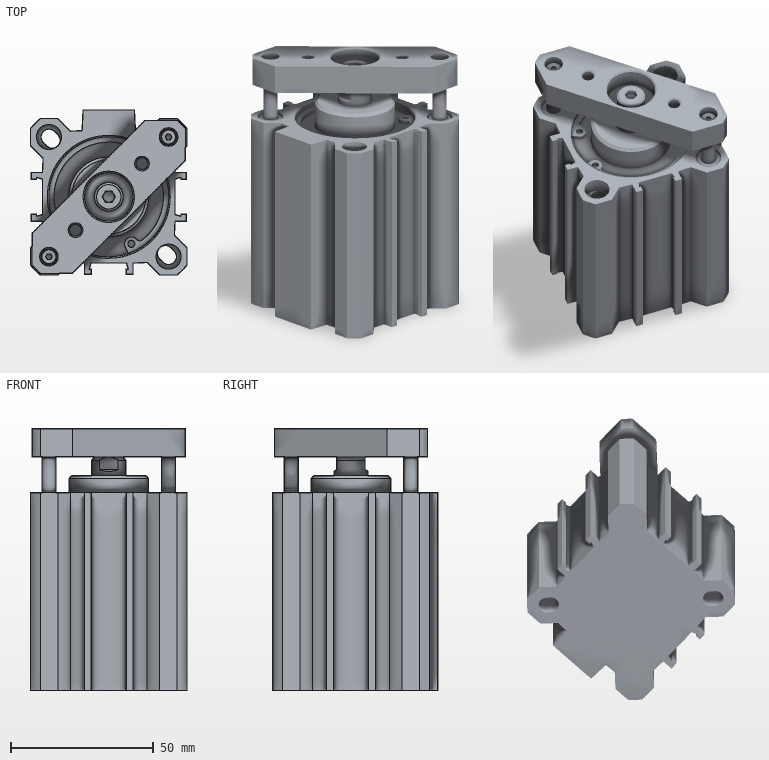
import cadquery as cq
import math

HOUSING_HEIGHT = 69.5
HOUSING_HALF = 27.5
PLATE_BOTTOM = 82.0
PLATE_THICKNESS = 10.0
PLATE_TOP = PLATE_BOTTOM + PLATE_THICKNESS
CORNER = 21.0

COLUMN_RADIUS = 36.5
COLUMN_FLAT_START = math.sqrt(COLUMN_RADIUS**2 - HOUSING_HALF**2)
WALL_HALF = 23.3
WALL_HALF_AT_COLUMN = 23.1
COLUMN_FLANK = 9.6
RAIL_OUTSIDE = 8.6
RAIL_TIP = 27.25
RAIL_THICKNESS = 1.8
RAIL_ROOT_THICKNESS = 2.4
HOOK_WIDTH = 2.5
HOOK_DEPTH = 1.9
PORT_BLOCK_FACE = 30.5
PORT_BLOCK_HALF_ROOT = 9.4
PORT_BLOCK_HALF_FACE = 9.05
OVERLAP = 1.0

MOUNT_HOLE_D = 5.5
MOUNT_BORE_D = 8.8
MOUNT_BORE_DEPTH = 5.5
MOUNT_SLOT_SHIFT = 1.15

BORE_D = 42.2
BORE_CHAMFER = 0.5
RING_TOP_DEPTH = 2.35
RING_THICKNESS = 1.5
RING_TOP = HOUSING_HEIGHT - RING_TOP_DEPTH
COVER_TOP = RING_TOP - RING_THICKNESS
COLLAR_D = 28.0
COLLAR_TOP = 75.5
COLLAR_CHAMFER = 1.0
COLLAR_FOOT_FILLET = 0.6
RING_INNER_D = 38.4
LUG_RADIUS = 2.4
LUG_CIRCLE_RADIUS = 18.3
LUG_FILLET = 1.5
LUG_HOLE_D = 2.5
LUG_ANGLES = (-119.5, -64.3)

ROD_D = 12.0
ROD_BOTTOM = 50.0
ROD_FLATS = 10.0
FLAT_BOTTOM = 77.55
FLAT_RUNOUT = 0.65
ROD_CHAMFER_HEIGHT = 1.2
ROD_CHAMFER_WIDTH = 0.95

GUIDE_D = 5.0
GUIDE_CHAMFER = 0.3
GUIDE_ENTRY_CHAMFER = 0.4
GUIDE_MOUTH_D = 9.0
GUIDE_LAND_D = 7.6
GUIDE_LAND_DEPTH = 0.3
GUIDE_GROOVE_DEPTH = (GUIDE_MOUTH_D - GUIDE_LAND_D) / 2

PLATE_HALF_LENGTH = 36.0
PLATE_WIDTH = 20.0
PLATE_CHAMFER = 8.0
PLATE_ANGLE = 45.0
POCKET_D = 17.0
POCKET_DEPTH = 7.0
POCKET_CHAMFER = 0.5
TAPPED_D = 4.13
TAPPED_CHAMFER = 0.5
TAPPED_RADIUS = 16.5
PIN_BORE_D = 6.5
PIN_BORE_DEPTH = 5.2

ROD_SCREW = dict(
    shank=6.0,
    clearance=6.6,
    head=10.0,
    top=8.57,
    height=4.0,
    hexagon=4.0,
    socket=2.0,
    reach=12.0,
)
PIN_SCREW = dict(
    shank=3.0,
    clearance=3.5,
    head=5.5,
    top=4.92,
    height=3.0,
    hexagon=2.0,
    socket=1.3,
    reach=8.0,
)
SOCKET_TIP_RATIO = 0.25

SIDES = (-1, 1)


def cylinder(diameter, bottom, top, x=0.0, y=0.0):
    return cq.Workplane("XY", origin=(x, y, bottom)).circle(diameter / 2).extrude(top - bottom)


def cone(bottom_d, top_d, bottom, top, x=0.0, y=0.0):
    solid = cq.Solid.makeCone(bottom_d / 2, top_d / 2, top - bottom, cq.Vector(x, y, bottom))
    return cq.Workplane(solid)


def column_profile():
    side = [
        (HOUSING_HALF, -COLUMN_FLAT_START),
        (HOUSING_HALF, COLUMN_FLANK - HOUSING_HALF),
        (WALL_HALF_AT_COLUMN, COLUMN_FLANK - WALL_HALF_AT_COLUMN),
        (WALL_HALF, -RAIL_OUTSIDE),
        (WALL_HALF, RAIL_OUTSIDE),
        (WALL_HALF_AT_COLUMN, WALL_HALF_AT_COLUMN - COLUMN_FLANK),
        (HOUSING_HALF, HOUSING_HALF - COLUMN_FLANK),
        (HOUSING_HALF, COLUMN_FLAT_START),
    ]
    corner = COLUMN_RADIUS / math.sqrt(2)
    profile = cq.Workplane("XY").moveTo(*side[0])
    for quarter in range(4):
        angle = quarter * math.pi / 2
        cos = round(math.cos(angle))
        sin = round(math.sin(angle))

        def turn(point):
            return (cos * point[0] - sin * point[1], sin * point[0] + cos * point[1])

        for point in side[1:]:
            profile = profile.lineTo(*turn(point))
        next_start = (COLUMN_FLAT_START, HOUSING_HALF)
        profile = profile.threePointArc(turn((corner, corner)), turn(next_start))
    return profile.close().extrude(HOUSING_HEIGHT)


def hooked_rail():
    inside = RAIL_OUTSIDE - RAIL_THICKNESS
    root_inside = RAIL_OUTSIDE - RAIL_ROOT_THICKNESS
    return (
        cq.Workplane("XY")
        .polyline([
            (WALL_HALF - OVERLAP, RAIL_OUTSIDE),
            (RAIL_TIP, RAIL_OUTSIDE),
            (RAIL_TIP, RAIL_OUTSIDE - HOOK_WIDTH),
            (RAIL_TIP - HOOK_DEPTH, RAIL_OUTSIDE - HOOK_WIDTH),
            (RAIL_TIP - HOOK_DEPTH, inside),
            (WALL_HALF, root_inside),
            (WALL_HALF - OVERLAP, root_inside),
        ])
        .close()
        .extrude(HOUSING_HEIGHT)
    )


def port_block():
    return (
        cq.Workplane("XY")
        .polyline([
            (-PORT_BLOCK_HALF_ROOT, WALL_HALF - OVERLAP),
            (PORT_BLOCK_HALF_ROOT, WALL_HALF - OVERLAP),
            (PORT_BLOCK_HALF_ROOT, WALL_HALF),
            (PORT_BLOCK_HALF_FACE, PORT_BLOCK_FACE),
            (-PORT_BLOCK_HALF_FACE, PORT_BLOCK_FACE),
            (-PORT_BLOCK_HALF_ROOT, WALL_HALF),
        ])
        .close()
        .extrude(HOUSING_HEIGHT)
    )


def mounting_hole(side):
    x, y = side * CORNER, -side * CORNER
    slot_run = MOUNT_SLOT_SHIFT * math.sqrt(2)
    centre = CORNER - MOUNT_SLOT_SHIFT / 2
    slot = (
        cq.Workplane("XY")
        .center(side * centre, -side * centre)
        .transformed(rotate=(0, 0, -PLATE_ANGLE))
        .slot2D(MOUNT_HOLE_D + slot_run, MOUNT_HOLE_D)
        .extrude(HOUSING_HEIGHT)
    )
    return slot.union(cylinder(MOUNT_BORE_D, HOUSING_HEIGHT - MOUNT_BORE_DEPTH, HOUSING_HEIGHT, x, y))


def guide_hole(side):
    x = y = side * CORNER
    hole = cylinder(GUIDE_D, 0, HOUSING_HEIGHT, x, y)
    land = HOUSING_HEIGHT - GUIDE_LAND_DEPTH
    groove_bottom = land - GUIDE_GROOVE_DEPTH
    mouth = cylinder(GUIDE_MOUTH_D, groove_bottom, HOUSING_HEIGHT, x, y)
    mouth = mouth.cut(cone(GUIDE_MOUTH_D, GUIDE_LAND_D, groove_bottom, land, x, y))
    entry = cone(GUIDE_D, GUIDE_D + 2 * GUIDE_ENTRY_CHAMFER, land - GUIDE_ENTRY_CHAMFER, land, x, y)
    return hole.union(mouth).union(entry)


def bore_mouth():
    chamfer_start = HOUSING_HEIGHT - BORE_CHAMFER
    mouth = cylinder(BORE_D, COVER_TOP, HOUSING_HEIGHT)
    return mouth.union(cone(BORE_D, BORE_D + 2 * BORE_CHAMFER, chamfer_start, HOUSING_HEIGHT))


def collar():
    radius = COLLAR_D / 2
    foot = radius + COLLAR_FOOT_FILLET
    return (
        cq.Workplane("XZ")
        .moveTo(0, COVER_TOP - OVERLAP)
        .lineTo(foot, COVER_TOP - OVERLAP)
        .lineTo(foot, COVER_TOP)
        .radiusArc((radius, COVER_TOP + COLLAR_FOOT_FILLET), COLLAR_FOOT_FILLET)
        .lineTo(radius, COLLAR_TOP - COLLAR_CHAMFER)
        .lineTo(radius - COLLAR_CHAMFER, COLLAR_TOP)
        .lineTo(0, COLLAR_TOP)
        .close()
        .revolve(360, (0, 0, 0), (0, 1, 0))
    )


def make_housing():
    body = column_profile()
    for angle in (0, 180, 270):
        for rail in (hooked_rail(), hooked_rail().mirror("XZ")):
            body = body.union(rail.rotate((0, 0, 0), (0, 0, 1), angle))
    body = body.union(port_block())
    body = body.cut(bore_mouth()).union(collar())
    body = body.cut(cylinder(ROD_D, ROD_BOTTOM, COLLAR_TOP))
    for side in SIDES:
        body = body.cut(mounting_hole(side)).cut(guide_hole(side))
    return body


def ring_gap():
    reach = BORE_D
    angles = [math.radians(angle) for angle in LUG_ANGLES]
    corners = [(reach * math.cos(angle), reach * math.sin(angle)) for angle in angles]
    return (
        cq.Workplane("XY", origin=(0, 0, COVER_TOP))
        .polyline([(0, 0), *corners])
        .close()
        .extrude(RING_THICKNESS)
    )


def ring_lug():
    """A lug on the +X axis, with a round nose towards the bore axis."""
    return (
        cq.Workplane("XY", origin=(0, 0, COVER_TOP))
        .moveTo(LUG_CIRCLE_RADIUS, -LUG_RADIUS)
        .lineTo(BORE_D / 2, -LUG_RADIUS)
        .lineTo(BORE_D / 2, LUG_RADIUS)
        .lineTo(LUG_CIRCLE_RADIUS, LUG_RADIUS)
        .radiusArc((LUG_CIRCLE_RADIUS, -LUG_RADIUS), -LUG_RADIUS)
        .close()
        .extrude(RING_THICKNESS)
        .intersect(cylinder(BORE_D, COVER_TOP, RING_TOP))
    )


def make_ring():
    ring = cylinder(BORE_D, COVER_TOP, RING_TOP).cut(cylinder(RING_INNER_D, COVER_TOP, RING_TOP))
    ring = ring.cut(ring_gap())
    root_x = math.sqrt((RING_INNER_D / 2) ** 2 - LUG_RADIUS**2)
    root_z = (COVER_TOP + RING_TOP) / 2
    for angle, ring_side in zip(LUG_ANGLES, SIDES):
        ring = ring.rotate((0, 0, 0), (0, 0, 1), -angle).union(ring_lug())
        root_edge = cq.selectors.NearestToPointSelector((root_x, ring_side * LUG_RADIUS, root_z))
        ring = ring.edges(root_edge).fillet(LUG_FILLET)
        ring = ring.cut(cylinder(LUG_HOLE_D, COVER_TOP, RING_TOP, LUG_CIRCLE_RADIUS))
        ring = ring.rotate((0, 0, 0), (0, 0, 1), angle)
    return ring


def make_rod():
    chamfer_start = PLATE_BOTTOM - ROD_CHAMFER_HEIGHT
    rod = cylinder(ROD_D, ROD_BOTTOM, chamfer_start)
    rod = rod.union(cone(ROD_D, ROD_D - 2 * ROD_CHAMFER_WIDTH, chamfer_start, PLATE_BOTTOM))
    flat = (
        cq.Workplane("YZ")
        .polyline([
            (ROD_FLATS / 2, PLATE_BOTTOM),
            (ROD_FLATS / 2, FLAT_BOTTOM),
            (ROD_D / 2, FLAT_BOTTOM - FLAT_RUNOUT),
            (ROD_D / 2, PLATE_BOTTOM),
        ])
        .close()
        .extrude(ROD_D / 2, both=True)
    )
    rod = rod.cut(flat).cut(flat.mirror("XZ"))
    return rod.cut(cylinder(ROD_SCREW["shank"], PLATE_BOTTOM - ROD_SCREW["reach"], PLATE_BOTTOM))


def make_guide(side):
    x = y = side * CORNER
    guide = cylinder(GUIDE_D, 0, PLATE_BOTTOM, x, y).faces(">Z").chamfer(GUIDE_CHAMFER)
    thread_bottom = PLATE_BOTTOM - PIN_SCREW["reach"]
    return guide.cut(cylinder(PIN_SCREW["shank"], thread_bottom, PLATE_BOTTOM, x, y))


def tapped_hole(side):
    x = y = side * TAPPED_RADIUS / math.sqrt(2)
    hole = cylinder(TAPPED_D, PLATE_BOTTOM, PLATE_TOP, x, y)
    mouth_d = TAPPED_D + 2 * TAPPED_CHAMFER
    return hole.union(cone(TAPPED_D, mouth_d, PLATE_TOP - TAPPED_CHAMFER, PLATE_TOP, x, y))


def pin_screw_hole(side):
    x = y = side * CORNER
    hole = cylinder(PIN_SCREW["clearance"], PLATE_BOTTOM, PLATE_TOP, x, y)
    return hole.union(cylinder(PIN_BORE_D, PLATE_TOP - PIN_BORE_DEPTH, PLATE_TOP, x, y))


def make_plate():
    plate = (
        cq.Workplane("XY", origin=(0, 0, PLATE_BOTTOM))
        .rect(2 * PLATE_HALF_LENGTH, PLATE_WIDTH)
        .extrude(PLATE_THICKNESS)
        .edges("|Z")
        .chamfer(PLATE_CHAMFER)
        .rotate((0, 0, 0), (0, 0, 1), PLATE_ANGLE)
    )
    pocket_chamfer_start = PLATE_TOP - POCKET_CHAMFER
    plate = plate.cut(cylinder(POCKET_D, PLATE_TOP - POCKET_DEPTH, PLATE_TOP))
    plate = plate.cut(cone(POCKET_D, POCKET_D + 2 * POCKET_CHAMFER, pocket_chamfer_start, PLATE_TOP))
    plate = plate.cut(cylinder(ROD_SCREW["clearance"], PLATE_BOTTOM, PLATE_TOP))
    for side in SIDES:
        plate = plate.cut(tapped_hole(side)).cut(pin_screw_hole(side))
    return plate


def make_screw(size, seat, x, y):
    top = seat + size["height"]
    bevel = (size["head"] - size["top"]) / 2
    screw = cylinder(size["shank"], PLATE_BOTTOM - size["reach"], seat, x, y)
    screw = screw.union(cylinder(size["head"], seat, top - bevel, x, y))
    screw = screw.union(cone(size["head"], size["top"], top - bevel, top, x, y))
    socket_floor = top - size["socket"]
    corner_d = size["hexagon"] / math.cos(math.pi / 6)
    socket = cq.Workplane("XY", origin=(x, y, socket_floor)).polygon(6, corner_d).extrude(size["socket"])
    tip_depth = SOCKET_TIP_RATIO * size["hexagon"]
    socket_tip = cone(0, size["hexagon"], socket_floor - tip_depth, socket_floor, x, y)
    return screw.cut(socket).cut(socket_tip)


housing = make_housing()
ring = make_ring()
rod = make_rod()
plate = make_plate()
guides = [make_guide(side) for side in SIDES]
rod_screw = make_screw(ROD_SCREW, PLATE_TOP - POCKET_DEPTH, 0, 0)
pin_seat = PLATE_TOP - PIN_BORE_DEPTH
pin_screws = [make_screw(PIN_SCREW, pin_seat, side * CORNER, side * CORNER) for side in SIDES]
bodies = [housing, ring, rod, plate, rod_screw, *guides, *pin_screws]

result = cq.Compound.makeCompound([body.solids().val() for body in bodies])